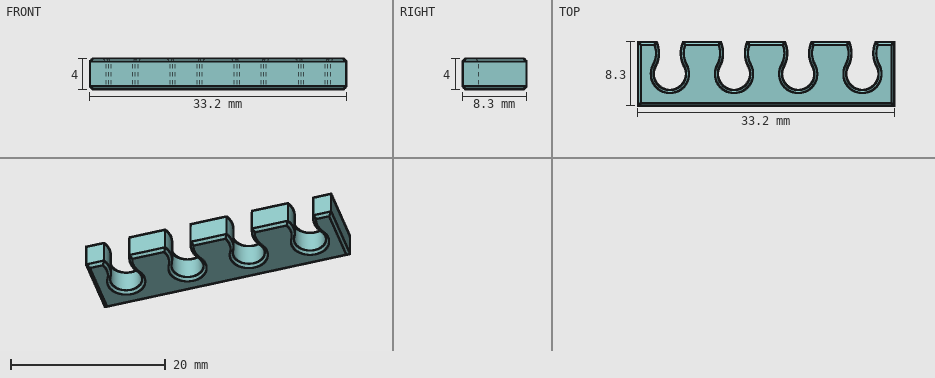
import cadquery as cq
import math

length = 33.2
width = 8.3
height = 4.0
edge_chamfer = 0.4

seat_count = 4
seat_pitch = length / seat_count
seat_radius = seat_pitch / 4
neck_half_width = 1.4
lip_radius = 3.5

lip_x = neck_half_width + lip_radius
lip_y = math.sqrt((seat_radius + lip_radius) ** 2 - lip_x**2)
tangent_fraction = seat_radius / (seat_radius + lip_radius)
tangent_x = lip_x * tangent_fraction
tangent_y = lip_y * tangent_fraction

back_y = width / 2
mouth_half_width = lip_x - math.sqrt(lip_radius**2 - (back_y - lip_y) ** 2)


def seat_cutter(center_x):
    """Full-height keyhole: a round seat narrowing to a neck, then flaring at the mouth."""
    return (
        cq.Workplane("XY")
        .center(center_x, 0)
        .moveTo(-mouth_half_width, back_y)
        .threePointArc((-neck_half_width, lip_y), (-tangent_x, tangent_y))
        .threePointArc((0, -seat_radius), (tangent_x, tangent_y))
        .threePointArc((neck_half_width, lip_y), (mouth_half_width, back_y))
        .close()
        .extrude(height)
    )


bar = cq.Workplane("XY").box(length, width, height, centered=(True, True, False))
for index in range(seat_count):
    seat_x = (index - (seat_count - 1) / 2) * seat_pitch
    bar = bar.cut(seat_cutter(seat_x))

result = bar.faces("<Z or >Z").edges().chamfer(edge_chamfer)